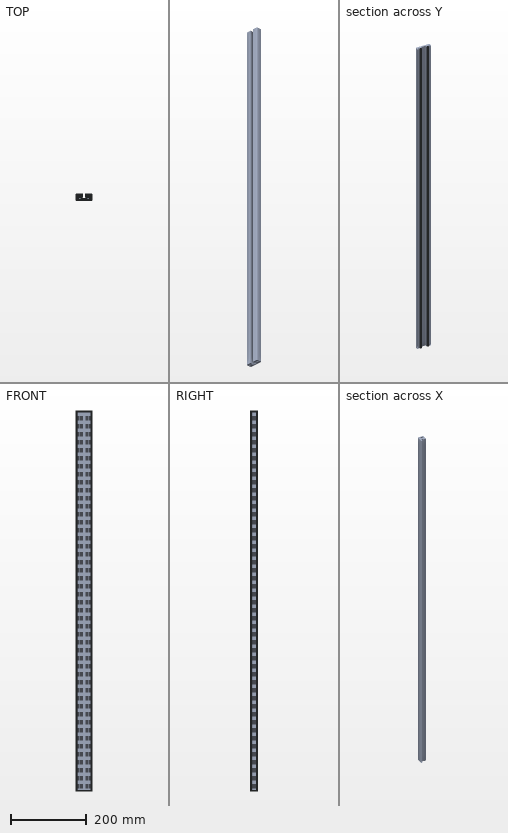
import cadquery as cq

width = 40.0
depth = 16.0
length = 1000.0
corner_radius = 2.0

mouth_half_width = 4.65
lip_thickness = 6.5
cavity_half_width = 7.5
cavity_side_depth = 1.5
floor_half_width = 6.0
floor_thickness = 3.75

side_wall = 3.0
channel_top_wall = 4.5
channel_depth = 5.0
channel_top_width = 7.0
channel_bottom_width = 3.0

back_y = depth / 2
slot_floor_y = floor_thickness - depth / 2
lip_y = back_y - lip_thickness
cavity_side_y = lip_y - cavity_side_depth
channel_outer_x = width / 2 - side_wall
channel_top_y = back_y - channel_top_wall
channel_bottom_y = channel_top_y - channel_depth


def extrude_outline(points):
    """Straight prism over the full length of the rail."""
    return cq.Workplane("XY").polyline(points).close().extrude(length)


def rail_body():
    """Solid bar with its four long corners rounded."""
    bar = cq.Workplane("XY").rect(width, depth).extrude(length)
    return bar.edges("|Z").fillet(corner_radius)


def t_slot():
    """Undercut slot whose lower flanks slope in towards a flat floor."""
    right_side = [
        (mouth_half_width, back_y),
        (mouth_half_width, lip_y),
        (cavity_half_width, lip_y),
        (cavity_half_width, cavity_side_y),
        (floor_half_width, slot_floor_y),
    ]
    left_side = [(-x, y) for x, y in reversed(right_side)]
    return extrude_outline(right_side + left_side)


def side_channel(side):
    """Closed channel with a sloping inner wall; side is +1 for +X and -1 for -X."""
    outline = [
        (channel_outer_x, channel_top_y),
        (channel_outer_x - channel_top_width, channel_top_y),
        (channel_outer_x - channel_bottom_width, channel_bottom_y),
        (channel_outer_x, channel_bottom_y),
    ]
    return extrude_outline([(side * x, y) for x, y in outline])


result = rail_body().cut(t_slot())
for side in (1, -1):
    result = result.cut(side_channel(side))